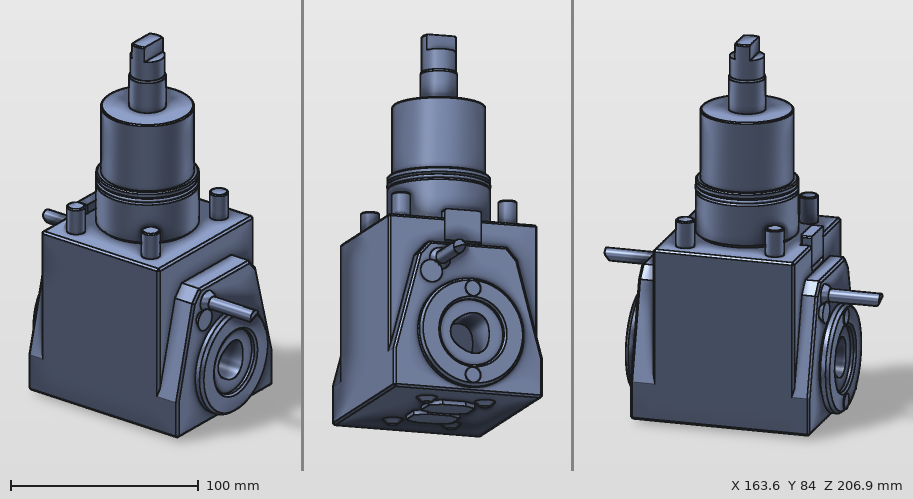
import cadquery as cq
import math

TURN_X = 2.0

BLOCK_WIDTH = 78.8
BODY_DEPTH = 84.0
BODY_HEIGHT = 96.2
BASE_WIDTH = 100.0
EDGE_CHAMFER = 1.2
PLATE_TOP_Z = -15.4
PLATE_TOP_HALF = 21.8
SHOULDER_Z = -22.1
SHOULDER_HALF = 27.8
SLOPE_END_Z = -75.0

FOOT_DIA, FOOT_TOP = 50.2, 2.0
COLLAR_DIA = 55.0
O_RING_DIA = 55.3
GROOVE_DIA = 53.2
PILOT_DIA, PILOT_TOP = 49.8, 69.9
COLLAR_TOP = 31.1
COLLAR_CHAMFER = 0.8
GROOVE_LOW, GROOVE_HIGH = 24.0, 28.3
GROOVE_WALL_HEIGHT = 1.2
DRIVE_DIA, DRIVE_TOP = 19.8, 88.6
DRIVE_CHAMFER_AXIAL, DRIVE_CHAMFER_RADIAL = 1.2, 0.5
TIP_DIA, TIP_TOP = 18.5, 99.6
TANG_WIDTH, TANG_TOP = 8.4, 108.2
SMALL_CHAMFER = 0.7

BOLT_DIA = 10.0
BOLT_HEIGHT = 14.8
BOLT_X, BOLT_Y = 25.0, 30.0

KEY_WIDTH = 20.6
KEY_DEPTH = 6.4
KEY_TOP, KEY_BOTTOM = 5.0, -12.0
KEY_CHAMFER = 1.2
KEY_TOP_CHAMFER = 0.8
KEY_INSET = 0.1
SLOT_BOTTOM = -15.0
SLOT_CORNER = 3.0

AXIS_Z = -64.9
END_DIA = 59.0
END_THICKNESS = 4.7
END_PROJECTION = 7.0
END_CHAMFER_AXIAL = 1.9
END_CHAMFER_RADIAL = 1.4
END_NECK_DIA = 49.0
RECESS_DIA = 36.0
RECESS_CHAMFER = 1.2
RECESS_DEPTH = 3.0
BORE_MOUTH_RADIUS, BORE_END_RADIUS = 10.9, 10.4
BORE_LOBE = 0.7
BORE_POINTS = 24
BORE_DEPTH = 25.0
DRIVE_SCREW_DIA = 8.5
DRIVE_SCREW_OFFSET = 23.7
DRIVE_SCREW_PROJECTION = 0.6

NOZZLE_Y, NOZZLE_Z = 16.1, -24.6
NOZZLE_DIA = 7.0
NOZZLE_REACH = 81.8
BALL_RADIUS = 6.0
BALL_SINK = 1.3
TIP_CUT = 2.6
TIP_CUT_ROLL = -20.0
SCREW_Y, SCREW_Z = 22.0, -32.5
SCREW_DIA, SCREW_ROOT_DIA = 12.2, 7.0
SCREW_HEIGHT = 3.2

UNDER_HEIGHT = 2.5
UNDER_SCREW_X, UNDER_SCREW_Y = 27.6, 16.4
UNDER_SCREW_DIA, UNDER_SCREW_TIP_DIA = 11.2, 5.0
PAD_X = (-15.0, 9.3)
PAD_WIDTH, PAD_DEPTH = 20.3, 26.0
PAD_CORNER_X, PAD_CORNER_Y = 4.0, 6.5

OVERLAP = 1.0
BASE_LEFT = TURN_X - BASE_WIDTH / 2
END_LEFT = BASE_LEFT - END_PROJECTION


def cylinder(dia, z_low, z_high, x=0.0, y=0.0):
    """Vertical cylinder between two heights."""
    return cq.Workplane("XY").workplane(offset=z_low).center(x, y).circle(dia / 2).extrude(z_high - z_low)


def cone(dia_low, dia_high, z_low, z_high, x=0.0, y=0.0):
    """Vertical truncated cone between two heights."""
    base = cq.Workplane("XY").workplane(offset=z_low).center(x, y).circle(dia_low / 2)
    return base.workplane(offset=z_high - z_low).circle(dia_high / 2).loft()


def cylinder_x(dia, x_low, x_high, y, z):
    """Cylinder along X between two positions."""
    return cq.Workplane("YZ").workplane(offset=x_low).center(y, z).circle(dia / 2).extrude(x_high - x_low)


def housing():
    """Block with a wider base whose end plates taper upward."""
    block = (
        cq.Workplane("XY")
        .box(BLOCK_WIDTH, BODY_DEPTH, BODY_HEIGHT, centered=(True, True, False))
        .translate((0, 0, -BODY_HEIGHT))
        .edges("|Z or >Z or <Z")
        .chamfer(EDGE_CHAMFER)
    )
    half = BODY_DEPTH / 2
    outline = [
        (-half, -BODY_HEIGHT),
        (half, -BODY_HEIGHT),
        (half, SLOPE_END_Z),
        (SHOULDER_HALF, SHOULDER_Z),
        (PLATE_TOP_HALF, PLATE_TOP_Z),
        (-PLATE_TOP_HALF, PLATE_TOP_Z),
        (-SHOULDER_HALF, SHOULDER_Z),
        (-half, SLOPE_END_Z),
    ]
    base = (
        cq.Workplane("YZ")
        .workplane(offset=BASE_LEFT)
        .polyline(outline)
        .close()
        .extrude(BASE_WIDTH)
        .edges("<X or >X or <Z")
        .chamfer(EDGE_CHAMFER)
    )
    block = block.cut(key_slot())
    return block.union(base)


def key_slot():
    return (
        cq.Workplane("XY")
        .box(KEY_DEPTH, KEY_WIDTH, -SLOT_BOTTOM, centered=(False, True, False))
        .edges("|X and <Z")
        .fillet(SLOT_CORNER)
        .translate((-BLOCK_WIDTH / 2, 0, SLOT_BOTTOM))
    )


def key():
    return (
        cq.Workplane("XY")
        .box(KEY_DEPTH - KEY_INSET, KEY_WIDTH, KEY_TOP - KEY_BOTTOM, centered=(False, True, False))
        .edges("|Z and >X")
        .chamfer(KEY_CHAMFER)
        .edges("|X and >Z")
        .chamfer(KEY_TOP_CHAMFER)
        .translate((KEY_INSET - BLOCK_WIDTH / 2, 0, KEY_BOTTOM))
    )


def collar():
    """Collar with a tapered foot and an O-ring bulging out of its groove."""
    ring_low = GROOVE_LOW + GROOVE_WALL_HEIGHT
    ring_high = GROOVE_HIGH - GROOVE_WALL_HEIGHT
    radius = COLLAR_DIA / 2
    return (
        cq.Workplane("XZ")
        .moveTo(0, -OVERLAP)
        .lineTo(FOOT_DIA / 2, -OVERLAP)
        .lineTo(FOOT_DIA / 2, 0)
        .lineTo(radius, FOOT_TOP)
        .lineTo(radius, GROOVE_LOW)
        .lineTo(GROOVE_DIA / 2, ring_low)
        .threePointArc((O_RING_DIA / 2, (ring_low + ring_high) / 2), (GROOVE_DIA / 2, ring_high))
        .lineTo(radius, GROOVE_HIGH)
        .lineTo(radius, COLLAR_TOP - COLLAR_CHAMFER)
        .lineTo(radius - COLLAR_CHAMFER, COLLAR_TOP)
        .lineTo(0, COLLAR_TOP)
        .close()
        .revolve(360, (0, 0, 0), (0, 1, 0))
    )


def shank():
    """Stepped shank ending in a flat drive tang."""
    pilot = cylinder(PILOT_DIA, COLLAR_TOP - OVERLAP, PILOT_TOP).faces(">Z").edges().chamfer(SMALL_CHAMFER)
    drive = cylinder(DRIVE_DIA, PILOT_TOP - OVERLAP, DRIVE_TOP)
    drive = drive.faces(">Z").edges().chamfer(DRIVE_CHAMFER_AXIAL, DRIVE_CHAMFER_RADIAL)
    tip = cylinder(TIP_DIA, DRIVE_TOP, TANG_TOP).faces(">Z").edges().chamfer(SMALL_CHAMFER)
    tang = cq.Workplane("XY").workplane(offset=TIP_TOP).rect(TANG_WIDTH, DRIVE_DIA)
    waste = cylinder(DRIVE_DIA, TIP_TOP, TANG_TOP).cut(tang.extrude(TANG_TOP - TIP_TOP))
    return collar().union(pilot).union(drive).union(tip.cut(waste))


def bolts():
    bolt = cylinder(BOLT_DIA, -OVERLAP, BOLT_HEIGHT).faces(">Z").edges().chamfer(SMALL_CHAMFER)
    group = cq.Workplane("XY")
    for x in (-BOLT_X, BOLT_X):
        for y in (-BOLT_Y, BOLT_Y):
            group = group.add(bolt.translate((x, y, 0)))
    return group.combine()


def bore_outline(mean_radius):
    """Points of the three-lobed bore outline, with one lobe toward +Y."""
    points = []
    for i in range(BORE_POINTS):
        angle = 2 * math.pi * i / BORE_POINTS
        radius = mean_radius + BORE_LOBE * math.cos(3 * angle)
        points.append((radius * math.cos(angle), radius * math.sin(angle)))
    return points


def output_end():
    """Output flange on the -X side."""
    neck = cylinder_x(END_NECK_DIA, END_LEFT + OVERLAP, BASE_LEFT + OVERLAP, 0, AXIS_Z)
    flange = (
        cylinder_x(END_DIA, END_LEFT, END_LEFT + END_THICKNESS, 0, AXIS_Z)
        .faces("<X")
        .edges()
        .chamfer(END_CHAMFER_AXIAL, END_CHAMFER_RADIAL)
    )
    return neck.union(flange)


def output_bore():
    """Recess and tapered polygon bore of the output on the -X side."""
    recess = cylinder_x(RECESS_DIA, END_LEFT, END_LEFT + RECESS_DEPTH, 0, AXIS_Z)
    rim = (
        cq.Workplane("YZ")
        .workplane(offset=END_LEFT)
        .center(0, AXIS_Z)
        .circle(RECESS_DIA / 2 + RECESS_CHAMFER)
        .workplane(offset=RECESS_CHAMFER)
        .circle(RECESS_DIA / 2)
        .loft()
    )
    bore = (
        cq.Workplane("YZ")
        .workplane(offset=END_LEFT + RECESS_DEPTH)
        .center(0, AXIS_Z)
        .spline(bore_outline(BORE_MOUTH_RADIUS), periodic=True)
        .close()
        .workplane(offset=BORE_DEPTH)
        .spline(bore_outline(BORE_END_RADIUS), periodic=True)
        .close()
        .loft()
    )
    return recess.union(rim).union(bore)


def drive_screws():
    """Two screw heads standing slightly proud of the -X output flange."""
    x_low = END_LEFT - DRIVE_SCREW_PROJECTION
    upper = cylinder_x(DRIVE_SCREW_DIA, x_low, END_LEFT + OVERLAP, 0, AXIS_Z + DRIVE_SCREW_OFFSET)
    lower = cylinder_x(DRIVE_SCREW_DIA, x_low, END_LEFT + OVERLAP, 0, AXIS_Z - DRIVE_SCREW_OFFSET)
    return upper.union(lower)


def nozzle():
    """Coolant nozzle with its ball joint and clamping screw on the -X side."""
    x_tip = TURN_X - NOZZLE_REACH
    x_ball = BASE_LEFT + BALL_SINK
    ball = cq.Workplane("XY").sphere(BALL_RADIUS).translate((x_ball, NOZZLE_Y, NOZZLE_Z))
    pipe = cylinder_x(NOZZLE_DIA, x_tip, x_ball, NOZZLE_Y, NOZZLE_Z)
    bevel = (
        cq.Workplane("XZ")
        .workplane(offset=-NOZZLE_Y - NOZZLE_DIA)
        .moveTo(x_tip, NOZZLE_Z)
        .lineTo(x_tip, NOZZLE_Z - NOZZLE_DIA)
        .lineTo(x_tip + 2 * TIP_CUT, NOZZLE_Z - NOZZLE_DIA)
        .close()
        .extrude(2 * NOZZLE_DIA)
        .rotate((0, NOZZLE_Y, NOZZLE_Z), (1, NOZZLE_Y, NOZZLE_Z), TIP_CUT_ROLL)
    )
    screw = (
        cq.Workplane("YZ")
        .workplane(offset=BASE_LEFT - SCREW_HEIGHT)
        .center(SCREW_Y, SCREW_Z)
        .circle(SCREW_DIA / 2)
        .workplane(offset=SCREW_HEIGHT)
        .circle(SCREW_ROOT_DIA / 2)
        .loft()
    )
    return ball.union(pipe.cut(bevel)).union(screw)


def under_screws():
    tip_z = -BODY_HEIGHT - UNDER_HEIGHT
    heads = cq.Workplane("XY")
    for x in (-UNDER_SCREW_X, UNDER_SCREW_X):
        for y in (-UNDER_SCREW_Y, UNDER_SCREW_Y):
            heads = heads.add(cone(UNDER_SCREW_TIP_DIA, UNDER_SCREW_DIA, tip_z, -BODY_HEIGHT, x, y))
    return heads.combine()


def pads():
    """Two raised plates with cut corners under the housing."""
    half_x, half_y = PAD_WIDTH / 2, PAD_DEPTH / 2
    flat_x, flat_y = half_x - PAD_CORNER_X, half_y - PAD_CORNER_Y
    outline = [
        (half_x, flat_y),
        (flat_x, half_y),
        (-flat_x, half_y),
        (-half_x, flat_y),
        (-half_x, -flat_y),
        (-flat_x, -half_y),
        (flat_x, -half_y),
        (half_x, -flat_y),
    ]
    pad = cq.Workplane("XY").workplane(offset=-BODY_HEIGHT).polyline(outline).close().extrude(-UNDER_HEIGHT)
    plates = cq.Workplane("XY")
    for x in PAD_X:
        plates = plates.add(pad.translate((x, 0, 0)))
    return plates.combine()


def half_turn(shape):
    """Copy of a -X side feature on the +X side."""
    return shape.rotate((TURN_X, 0, 0), (TURN_X, 0, 1), 180)


result = housing().union(key()).union(shank()).union(bolts())
for side_feature in (output_end(), nozzle()):
    result = result.union(side_feature).union(half_turn(side_feature))
result = result.union(drive_screws())
result = result.cut(output_bore()).cut(half_turn(output_bore()))
result = result.union(under_screws()).union(pads())